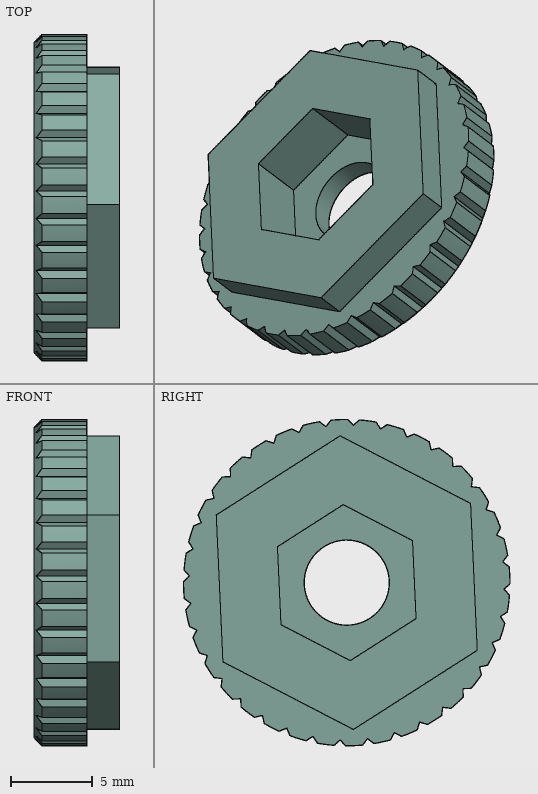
import cadquery as cq
import math

disc_diameter = 20.0
disc_thickness = 3.25
rim_chamfer = 0.5
bore_diameter = 5.2

groove_count = 36
groove_depth = 0.35
groove_pitch = 360.0 / groove_count
groove_half_width = groove_depth

boss_corner_diameter = 18.0
boss_height = 2.0
nut_across_flats = 8.28
nut_corner_diameter = nut_across_flats / math.cos(math.radians(30))
nut_pocket_depth = 3.8

common_turn = 2.6
first_groove_angle = common_turn + groove_pitch / 2

disc_radius = disc_diameter / 2
total_length = disc_thickness + boss_height
nut_pocket_floor = total_length - nut_pocket_depth


def hexagon_prism(corner_diameter, start, length):
    """Hexagonal prism along +X with corners turned by common_turn from the Z axis."""
    return (
        cq.Workplane("YZ", origin=(start, 0, 0))
        .transformed(rotate=(0, 0, 90 + common_turn))
        .polygon(6, corner_diameter)
        .extrude(length)
    )


def disc():
    return (
        cq.Workplane("YZ")
        .circle(disc_radius)
        .extrude(disc_thickness)
        .faces("<X")
        .chamfer(rim_chamfer)
    )


def rim_groove(angle):
    """Diamond bar centred on the rim, whose inner half cuts one V groove."""
    return (
        cq.Workplane("YZ")
        .moveTo(disc_radius - groove_depth, 0)
        .lineTo(disc_radius, -groove_half_width)
        .lineTo(disc_radius + groove_depth, 0)
        .lineTo(disc_radius, groove_half_width)
        .close()
        .extrude(disc_thickness)
        .rotate((0, 0, 0), (1, 0, 0), angle)
    )


knob = disc()
for index in range(groove_count):
    groove_angle = first_groove_angle + index * groove_pitch
    knob = knob.cut(rim_groove(groove_angle))

boss = hexagon_prism(boss_corner_diameter, disc_thickness, boss_height)
bore = cq.Workplane("YZ").circle(bore_diameter / 2).extrude(total_length)
nut_pocket = hexagon_prism(nut_corner_diameter, nut_pocket_floor, nut_pocket_depth)

result = knob.union(boss).cut(bore).cut(nut_pocket)